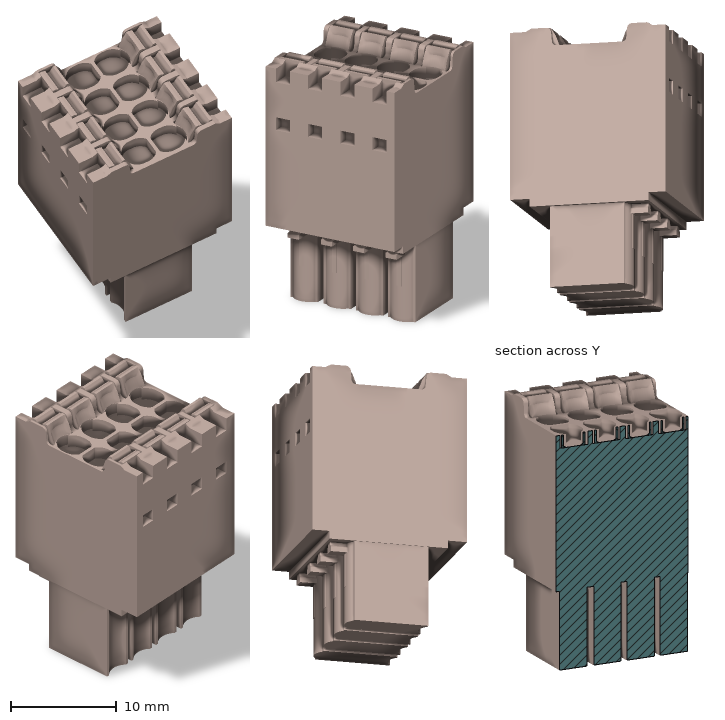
import cadquery as cq
import math


POLES = 4
WIDTH = 14.0
HEIGHT = 25.05
FRONT_DEPTH = 7.72
REAR_DEPTH = 7.5
PITCH = WIDTH / POLES
FRONT = -1
REAR = 1
ROW_SIDES = (FRONT, REAR)

BODY_BOTTOM = 8.55
FLANGE_BOTTOM = 7.8
FLANGE_HALF_DEPTH = 5.8
SHOULDER_Z = 24.67
RIDGE_Z = 24.97
FLOOR_Z = 23.25
BEVEL_OUTER_Y = 6.2
RIDGE_OUTER_Y = 5.65
RIDGE_INNER_Y = 4.2
RIDGE_ROUND = 0.5
VALLEY_WALL_TOP_Y = RIDGE_INNER_Y - RIDGE_ROUND
VALLEY_WALL_FOOT_Y = 3.63
VALLEY_ROUND = 0.4

HOLE_RADIUS = 1.48
HOLE_DEPTH = 1.28
HOLE_FLOOR_Z = FLOOR_Z - HOLE_DEPTH
FRONT_HOLE_X = 1.7
REAR_HOLE_X = 1.63
HOLE_FLAT_Y = 0.18
HOLE_INNER_CENTRE_Y = 1.35
HOLE_OUTER_CENTRE_Y = 1.75
LAST_FRONT_HOLE_SHIFT = -0.18

POCKET_X = 0.25
POCKET_WIDTH = 2.88
POCKET_INNER_Y = 3.0
LAST_POCKET_SHIFT = -0.1
OPENING_X = 0.85
OPENING_WIDTH = 1.5
NOTCH_FLOOR_Z = 23.3
WINDOW_BOTTOM = 18.44
WINDOW_HEIGHT = 1.3
WINDOW_DEPTH = 1.08

BUTTON_X = 0.43
BUTTON_WIDTH = 2.5
BUTTON_TOP_Y = 3.88
BUTTON_TOP_BOW = 0.03
HOLLOW_RADIUS = 1.63
FOOT_CHAMFER = HOLLOW_RADIUS - HOLE_RADIUS
SCOOP_FOOT_BOW = HOLE_OUTER_CENTRE_Y + HOLLOW_RADIUS - POCKET_INNER_Y
SCOOP_WAIST_Z = 24.3
SCOOP_WAIST_EDGE_Y = 3.4
SCOOP_WAIST_BOW = BUTTON_TOP_Y - SCOOP_WAIST_EDGE_Y
SLOT_FLOOR_Z = 24.45
SLOT_LEDGE_Z = 24.95
SLOT_FLOOR_WIDTH = 0.45
SLOT_LEDGE_WIDTH = 0.08
SLOT_LEAD_IN = 0.28
SLOT_RAMP = 0.4
SLOT_WIDTH = SLOT_FLOOR_WIDTH + SLOT_LEDGE_WIDTH + SLOT_LEAD_IN + SLOT_RAMP
SLOT_RIM = 0.28

PLUG_X = 0.08
PLUG_WIDTH = 2.95
PLUG_FRONT_Y = -3.93
PLUG_REAR_Y = 3.35
PLUG_ARC_CHORD = 2.38
PLUG_ARC_RISE = 0.5
LAST_PLUG_SHIFT = 0.1
HOOK_REACH_Y = 5.4
HOOK_BOTTOM = 6.86
HOOK_STEP_BOTTOM = 7.35
HOOK_STEP_TOP = 7.52
HOOK_HALF_WIDTH = 0.6
HOOK_NECK_HALF_WIDTH = 0.4
KEY_BOTTOM = 3.58
KEY_WIDTH = 0.5
KEY_HEIGHT = 0.03


def pole_x(index, first_x, last_shift=0.0):
    """X place of a repeated feature; the one at the last pole may sit slightly off pitch."""
    shift = last_shift if index == POLES - 1 else 0.0
    return first_x + index * PITCH + shift


def box(x, y, z, width, depth, height):
    """Box given by its lower corner and its sizes along X, Y and Z."""
    return cq.Workplane("XY").box(width, depth, height, centered=False).translate((x, y, z))


def span_box(x, width, side, y_near, y_far, bottom, top):
    """Box between two distances from y = 0, on the FRONT or REAR side."""
    y_low = min(side * y_near, side * y_far)
    return box(x, y_low, bottom, width, abs(y_far - y_near), top - bottom)


def side_profile(points, x, width):
    """Closed (y, z) polygon extruded along X."""
    return cq.Workplane("YZ").polyline(points).close().extrude(width).translate((x, 0, 0))


def outer_depth(side):
    """Distance from y = 0 to the outer wall of a row."""
    return REAR_DEPTH if side == REAR else FRONT_DEPTH


def valley_cut():
    """Trough between the two ridges, with a curved ridge edge and a rounded foot."""
    foot_y = VALLEY_WALL_FOOT_Y - VALLEY_ROUND
    wall_top_z = RIDGE_Z - RIDGE_ROUND
    wall_foot_z = FLOOR_Z + VALLEY_ROUND
    bulge = RIDGE_ROUND * (1 - math.sqrt(0.5))
    hollow = VALLEY_ROUND * (1 - math.sqrt(0.5))
    return (
        cq.Workplane("YZ")
        .moveTo(-RIDGE_INNER_Y, RIDGE_Z)
        .threePointArc((-VALLEY_WALL_TOP_Y - bulge, RIDGE_Z - bulge), (-VALLEY_WALL_TOP_Y, wall_top_z))
        .lineTo(-VALLEY_WALL_FOOT_Y, wall_foot_z)
        .threePointArc((-VALLEY_WALL_FOOT_Y + hollow, FLOOR_Z + hollow), (-foot_y, FLOOR_Z))
        .lineTo(foot_y, FLOOR_Z)
        .threePointArc((VALLEY_WALL_FOOT_Y - hollow, FLOOR_Z + hollow), (VALLEY_WALL_FOOT_Y, wall_foot_z))
        .lineTo(VALLEY_WALL_TOP_Y, wall_top_z)
        .threePointArc((VALLEY_WALL_TOP_Y + bulge, RIDGE_Z - bulge), (RIDGE_INNER_Y, RIDGE_Z))
        .close()
        .extrude(WIDTH)
    )


def housing_block():
    """Body with bevelled shoulders, two ridges, the valley and the lower flange."""
    outline = [
        (-FLANGE_HALF_DEPTH, FLANGE_BOTTOM),
        (FLANGE_HALF_DEPTH, FLANGE_BOTTOM),
        (FLANGE_HALF_DEPTH, BODY_BOTTOM),
        (REAR_DEPTH, BODY_BOTTOM),
        (REAR_DEPTH, SHOULDER_Z),
        (BEVEL_OUTER_Y, SHOULDER_Z),
        (RIDGE_OUTER_Y, RIDGE_Z),
        (-RIDGE_OUTER_Y, RIDGE_Z),
        (-BEVEL_OUTER_Y, SHOULDER_Z),
        (-FRONT_DEPTH, SHOULDER_Z),
        (-FRONT_DEPTH, BODY_BOTTOM),
        (-FLANGE_HALF_DEPTH, BODY_BOTTOM),
    ]
    return side_profile(outline, 0, WIDTH).cut(valley_cut())


def wire_hole(x, side):
    """Blind hole: two round ends joined by a short straight, cut flat beside y = 0."""
    length = HOLE_OUTER_CENTRE_Y - HOLE_INNER_CENTRE_Y + 2 * HOLE_RADIUS
    centre_y = side * (HOLE_OUTER_CENTRE_Y + HOLE_INNER_CENTRE_Y) / 2
    hole = (
        cq.Workplane("XY", origin=(x, centre_y, HOLE_FLOOR_Z))
        .slot2D(length, 2 * HOLE_RADIUS, 90)
        .extrude(HEIGHT - HOLE_FLOOR_Z)
    )
    outer_y = HOLE_OUTER_CENTRE_Y + HOLE_RADIUS
    limits = span_box(
        x - HOLE_RADIUS, 2 * HOLE_RADIUS, side, HOLE_FLAT_Y, outer_y, HOLE_FLOOR_Z, HEIGHT
    )
    return hole.intersect(limits)


def button_pocket(x, side):
    """Recess in a ridge that holds one button."""
    return span_box(x, POCKET_WIDTH, side, POCKET_INNER_Y, RIDGE_OUTER_Y, HOLE_FLOOR_Z, HEIGHT)


def access_notch(x, side):
    """Open notch from the outer wall to the back of a button."""
    return span_box(x, OPENING_WIDTH, side, RIDGE_OUTER_Y, outer_depth(side), NOTCH_FLOOR_Z, HEIGHT)


def test_window(x, side):
    """Blind rectangular opening in the outer wall."""
    wall = outer_depth(side)
    window_top = WINDOW_BOTTOM + WINDOW_HEIGHT
    return span_box(x, OPENING_WIDTH, side, wall - WINDOW_DEPTH, wall, WINDOW_BOTTOM, window_top)


def plug_shroud(x):
    """Post with a hollow front face and a matching rounded rear face."""
    strip = (PLUG_WIDTH - PLUG_ARC_CHORD) / 2
    return (
        cq.Workplane("XY")
        .moveTo(x, PLUG_FRONT_Y)
        .lineTo(x + strip, PLUG_FRONT_Y)
        .threePointArc(
            (x + PLUG_WIDTH / 2, PLUG_FRONT_Y + PLUG_ARC_RISE),
            (x + PLUG_WIDTH - strip, PLUG_FRONT_Y),
        )
        .lineTo(x + PLUG_WIDTH, PLUG_FRONT_Y)
        .lineTo(x + PLUG_WIDTH, PLUG_REAR_Y)
        .lineTo(x + PLUG_WIDTH - strip, PLUG_REAR_Y)
        .threePointArc(
            (x + PLUG_WIDTH / 2, PLUG_REAR_Y + PLUG_ARC_RISE),
            (x + strip, PLUG_REAR_Y),
        )
        .lineTo(x, PLUG_REAR_Y)
        .close()
        .extrude(FLANGE_BOTTOM)
    )


def plug_hook(centre_x):
    """Stepped hook under the flange, behind a shroud."""
    half_outline = [
        (HOOK_HALF_WIDTH, HOOK_BOTTOM),
        (HOOK_HALF_WIDTH, HOOK_STEP_BOTTOM),
        (HOOK_NECK_HALF_WIDTH, HOOK_STEP_TOP),
        (HOOK_NECK_HALF_WIDTH, FLANGE_BOTTOM),
    ]
    mirrored = [(-offset, z) for offset, z in reversed(half_outline)]
    return (
        cq.Workplane("XZ", origin=(centre_x, PLUG_REAR_Y, 0))
        .polyline(half_outline + mirrored)
        .close()
        .extrude(PLUG_REAR_Y - HOOK_REACH_Y)
    )


def plug_key(centre_x):
    """Low rib on the rounded rear face of a shroud, running down past the hook."""
    depth = PLUG_ARC_RISE + KEY_HEIGHT
    height = FLANGE_BOTTOM - KEY_BOTTOM
    return box(centre_x - KEY_WIDTH / 2, PLUG_REAR_Y, KEY_BOTTOM, KEY_WIDTH, depth, height)


def make_housing():
    housing = housing_block()
    for index in range(POLES):
        opening_x = pole_x(index, OPENING_X)
        pocket_x = pole_x(index, POCKET_X, LAST_POCKET_SHIFT)
        hole_x = {
            FRONT: pole_x(index, FRONT_HOLE_X, LAST_FRONT_HOLE_SHIFT),
            REAR: pole_x(index, REAR_HOLE_X),
        }
        for side in ROW_SIDES:
            housing = housing.cut(wire_hole(hole_x[side], side))
            housing = housing.cut(button_pocket(pocket_x, side))
            housing = housing.cut(access_notch(opening_x, side))
            housing = housing.cut(test_window(opening_x, side))
        plug_x = pole_x(index, PLUG_X, LAST_PLUG_SHIFT)
        plug_centre_x = plug_x + PLUG_WIDTH / 2
        housing = housing.union(plug_shroud(plug_x))
        housing = housing.union(plug_hook(plug_centre_x))
        housing = housing.union(plug_key(plug_centre_x))
    return housing


def button_block(x, side):
    """Plain block filling the depth of its pocket, before it is hollowed."""
    return span_box(x, BUTTON_WIDTH, side, POCKET_INNER_Y, RIDGE_OUTER_Y, HOLE_FLOOR_Z, HEIGHT)


def wire_hollow(centre_x, side):
    """Upright round hollow around the wire hole, narrowing to the hole at its foot."""
    axis_y = side * HOLE_OUTER_CENTRE_Y
    foot = cq.Solid.makeCone(
        HOLE_RADIUS, HOLLOW_RADIUS, FOOT_CHAMFER, cq.Vector(centre_x, axis_y, HOLE_FLOOR_Z)
    )
    upright = cq.Solid.makeCylinder(
        HOLLOW_RADIUS,
        HOLE_DEPTH - FOOT_CHAMFER,
        cq.Vector(centre_x, axis_y, HOLE_FLOOR_Z + FOOT_CHAMFER),
    )
    return cq.Workplane(foot).union(cq.Workplane(upright))


def scoop_section(centre_x, side, z, edge_y, bow):
    """Level section of the scoop: an arc bowed outward from edge_y, open toward the wire hole."""
    half_width = BUTTON_WIDTH / 2
    return (
        cq.Workplane("XY", origin=(centre_x, 0, z))
        .moveTo(-half_width, side * HOLE_OUTER_CENTRE_Y)
        .lineTo(-half_width, side * edge_y)
        .threePointArc((0, side * (edge_y + bow)), (half_width, side * edge_y))
        .lineTo(half_width, side * HOLE_OUTER_CENTRE_Y)
        .close()
        .val()
    )


def finger_scoop(centre_x, side):
    """Leaning hollow above the upright one, flattening out to a nearly straight top edge."""
    foot = scoop_section(centre_x, side, FLOOR_Z, POCKET_INNER_Y, SCOOP_FOOT_BOW)
    waist = scoop_section(centre_x, side, SCOOP_WAIST_Z, SCOOP_WAIST_EDGE_Y, SCOOP_WAIST_BOW)
    top = scoop_section(centre_x, side, HEIGHT, BUTTON_TOP_Y, BUTTON_TOP_BOW)
    return cq.Workplane(cq.Solid.makeLoft([foot, waist, top], True))


def driver_slot(x, side):
    """Screwdriver slot along X; its long ramp is on the rear side in both rows."""
    front_y = BUTTON_TOP_Y + SLOT_RIM
    if side == FRONT:
        front_y = -front_y - SLOT_WIDTH
    ledge_y = front_y + SLOT_LEAD_IN
    floor_y = ledge_y + SLOT_LEDGE_WIDTH
    ramp_y = floor_y + SLOT_FLOOR_WIDTH
    outline = [
        (front_y, HEIGHT),
        (ledge_y, SLOT_LEDGE_Z),
        (floor_y, SLOT_LEDGE_Z),
        (floor_y, SLOT_FLOOR_Z),
        (ramp_y, SLOT_FLOOR_Z),
        (ramp_y + SLOT_RAMP, HEIGHT),
    ]
    return side_profile(outline, x, BUTTON_WIDTH)


def make_button(index, side):
    x = pole_x(index, BUTTON_X)
    centre_x = x + BUTTON_WIDTH / 2
    button = button_block(x, side)
    button = button.cut(wire_hollow(centre_x, side))
    button = button.cut(finger_scoop(centre_x, side))
    return button.cut(driver_slot(x, side))


housing = make_housing()
buttons = [make_button(index, side) for side in ROW_SIDES for index in range(POLES)]
result = cq.Compound.makeCompound([housing.val()] + [button.val() for button in buttons])